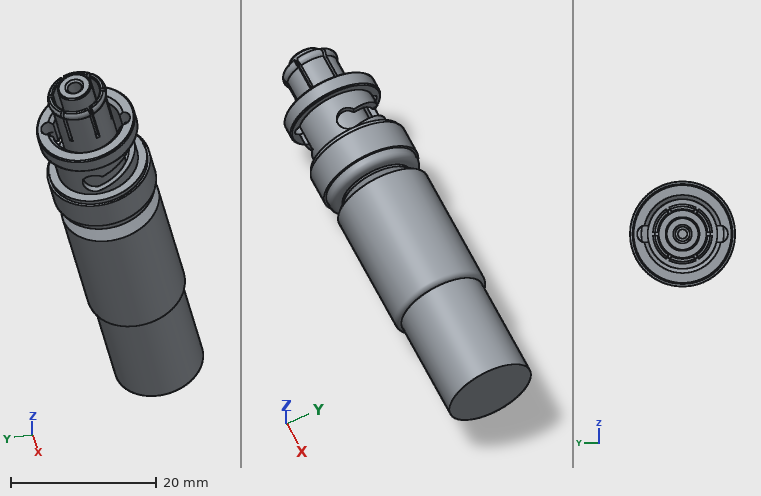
import cadquery as cq

total_length = 58.5
shell_end = 43.4

insulator_radius = 2.35
insulator_end = 11.7
insulator_edge = 0.2
mouth_chamfer = 0.3
bore_radius = 1.0
bore_depth = 2.9
contact_hole_radius = 0.65
contact_hole_depth = 5.85

collet_front = 1.35
collet_radius = 3.8
collet_bore_radius = 3.3
collet_bore_end = 8.2
collet_mouth_chamfer = 0.2
bead_front_radius = 3.8
bead_radius = 4.1
bead_peak = 2.0
bead_end = 2.65
finger_slot_count = 6
finger_slot_width = 0.45
finger_slot_end = 7.4
finger_blade_reach = 4.7
shoulder_start = 16.9
neck_radius = 5.2
cone_start = 23.1
grip_radius = 6.9
grip_start = cone_start + grip_radius - neck_radius
grip_fillet = 0.75

sleeve_front = 7.85
front_flange_end = 10.05
rear_flange_start = 16.25
band_start = 16.9
band_end = 21.1
sleeve_end = 22.75
flange_radius = 6.9
flange_chamfer = 0.2
barrel_radius = 5.7
band_radius = 7.25
sleeve_fillet = 0.9
sleeve_bore_radius = 4.8
sleeve_countersink = 0.6

lug_width = 2.35
entry_reach = 6.25
entry_end = 14.1
latch_x = 14.05
latch_radius = 1.65
ramp_width = 2.2
ramp_angle = 16.5

ferrule_radius = 6.25


def cylinder(start, end, radius):
    return cq.Workplane("YZ").workplane(offset=start).circle(radius).extrude(end - start)


def turned(profile):
    """Revolve an outline of X and radius about the X axis."""
    return profile.close().revolve(360, (0, 0, 0), (1, 0, 0))


def make_insulator():
    """Nose core with a stepped contact bore."""
    body = cylinder(0, insulator_end, insulator_radius).faces("<X").edges().chamfer(insulator_edge)
    body = body.cut(cylinder(0, bore_depth, bore_radius))
    body = body.cut(cylinder(bore_depth, contact_hole_depth, contact_hole_radius))
    return body.faces("<X").edges(cq.selectors.RadiusNthSelector(0)).chamfer(mouth_chamfer)


def make_shell():
    """Slotted collet, neck and grip in one piece, bored for the insulator."""
    outline = (
        cq.Workplane("XY")
        .moveTo(collet_front, 0)
        .lineTo(collet_front, bead_front_radius)
        .threePointArc((bead_peak, bead_radius), (bead_end, collet_radius))
        .lineTo(shoulder_start, collet_radius)
        .lineTo(shoulder_start, neck_radius)
        .lineTo(cone_start, neck_radius)
        .lineTo(grip_start, grip_radius)
        .lineTo(shell_end, grip_radius)
        .lineTo(shell_end, 0)
    )
    body = turned(outline).faces(">X").edges().fillet(grip_fillet)
    body = body.cut(cylinder(collet_front, collet_bore_end, collet_bore_radius))
    body = body.faces("<X").edges(cq.selectors.RadiusNthSelector(0)).chamfer(collet_mouth_chamfer)
    body = body.cut(cylinder(collet_front, insulator_end, insulator_radius))
    return body.cut(finger_slots())


def finger_slots():
    """Lengthwise blades that divide the collet into spring fingers; each one makes two opposite slots."""
    blade_length = finger_slot_end - collet_front
    blade = (
        cq.Workplane("XY")
        .box(blade_length, 2 * finger_blade_reach, finger_slot_width, centered=(False, True, True))
        .translate((collet_front, 0, 0))
    )
    slots = cq.Workplane("XY")
    for index in range(finger_slot_count // 2):
        turn = index * 360 / finger_slot_count
        slots = slots.add(blade.rotate((0, 0, 0), (1, 0, 0), turn))
    return slots.combine()


def make_sleeve():
    """Turned coupling ring around the collet, with two opposite bayonet slots."""
    outline = (
        cq.Workplane("XY")
        .moveTo(sleeve_front, sleeve_bore_radius + sleeve_countersink)
        .lineTo(sleeve_front, flange_radius - flange_chamfer)
        .lineTo(sleeve_front + flange_chamfer, flange_radius)
        .lineTo(front_flange_end - flange_chamfer, flange_radius)
        .lineTo(front_flange_end, flange_radius - flange_chamfer)
        .lineTo(front_flange_end, barrel_radius)
        .lineTo(rear_flange_start, barrel_radius)
        .lineTo(rear_flange_start, flange_radius)
        .lineTo(band_start, flange_radius)
        .lineTo(band_start, band_radius)
        .lineTo(band_end, band_radius)
        .lineTo(band_end, flange_radius)
        .lineTo(sleeve_end, flange_radius)
        .lineTo(sleeve_end, neck_radius)
        .lineTo(shoulder_start, neck_radius)
        .lineTo(shoulder_start, sleeve_bore_radius)
        .lineTo(sleeve_front + sleeve_countersink, sleeve_bore_radius)
    )
    outer_edge = cq.selectors.RadiusNthSelector(-1)
    body = turned(outline).faces(">X").edges(outer_edge).fillet(sleeve_fillet)
    body = body.cut(entry_channels())
    for turn in (0, 180):
        body = body.cut(latch_track().rotate((0, 0, 0), (1, 0, 0), turn))
    return body


def entry_channels():
    """Straight lug entries on both sides: rounded through the flange, flat-sided along the barrel."""
    rounded = (
        cq.Workplane("YZ")
        .workplane(offset=sleeve_front)
        .slot2D(2 * entry_reach, lug_width)
        .extrude(front_flange_end - sleeve_front)
    )
    flat_length = entry_end - front_flange_end
    flat = (
        cq.Workplane("XY")
        .box(flat_length, 2 * entry_reach, lug_width, centered=(False, True, True))
        .translate((front_flange_end, 0, 0))
    )
    return rounded.union(flat)


def latch_track():
    """Slanted ramp from the +Y entry to the round latch hole at the top."""
    ramp = (
        cq.Workplane("XY")
        .rect(ramp_width, entry_reach, centered=False)
        .extrude(lug_width / 2 + barrel_radius)
        .translate((latch_radius - ramp_width, 0, -lug_width / 2))
        .rotate((0, 0, 0), (0, 0, 1), ramp_angle)
        .translate((latch_x, 0, 0))
    )
    hole = cq.Workplane("XY").center(latch_x, 0).circle(latch_radius).extrude(barrel_radius)
    return ramp.union(hole)


def make_ferrule():
    """Plain cylinder against the rear face of the grip."""
    return cylinder(shell_end, total_length, ferrule_radius)


insulator = make_insulator()
shell = make_shell()
sleeve = make_sleeve()
ferrule = make_ferrule()

result = cq.Compound.makeCompound([insulator.val(), shell.val(), sleeve.val(), ferrule.val()])